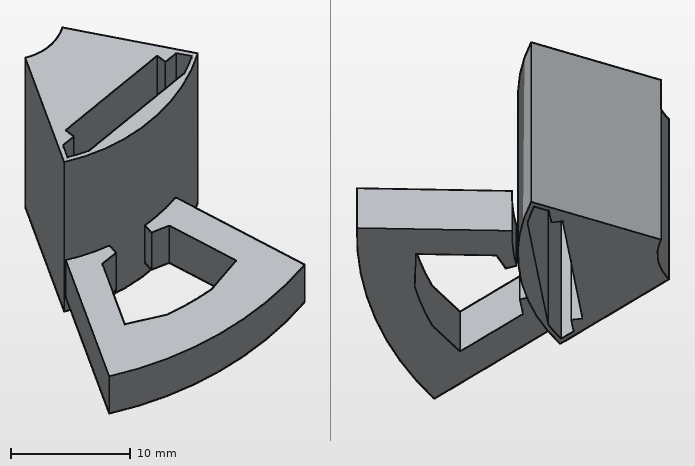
import cadquery as cq
import math


ROTOR_ANGLE = 60.0
ROTOR_HEIGHT = 20.0
SHAFT_RADIUS = 4.5
ROTOR_RADIUS = 16.2

POCKET_WALL = 0.4
MAGNET_INNER = 11.75
MAGNET_SHOULDER = 12.7
MAGNET_OUTER = 14.69
MAGNET_WIDTH = 11.1

STATOR_ANGLE = 40.0
STATOR_HEIGHT = 5.0
STATOR_BASE = 2.5
AIR_GAP = 0.5
STATOR_INNER_RADIUS = ROTOR_RADIUS + AIR_GAP
STATOR_RADIUS = 29.7

FLANK_WALL = 2.83
SLOT_RADIUS = 25.53
SLOT_END = 24.68
SHOE_START = 17.92
SHOE_TIP = 17.55
SLOT_OPENING = 3.68


def polar(radius, angle):
    """Point at a radius and an angle in degrees from +X."""
    return (radius * math.cos(math.radians(angle)), radius * math.sin(math.radians(angle)))


def ring_sector(inner_radius, outer_radius, angle, height):
    """Ring segment from +X through an angle, standing on Z = 0."""
    return (
        cq.Workplane("XY")
        .moveTo(inner_radius, 0)
        .lineTo(outer_radius, 0)
        .threePointArc(polar(outer_radius, angle / 2), polar(outer_radius, angle))
        .lineTo(*polar(inner_radius, angle))
        .threePointArc(polar(inner_radius, angle / 2), (inner_radius, 0))
        .close()
        .extrude(height)
    )


def radial_bar(start, end, width, angle, height):
    """Rectangular bar running outward along a radial line at an angle."""
    bar = cq.Workplane("XY").box(end - start, width, height, centered=(False, True, False))
    return bar.translate((start, 0, 0)).rotate((0, 0, 0), (0, 0, 1), angle)


def magnet_pocket():
    """Flat magnet seat with a wider outer part that ends in flux barriers beside the thin walls."""
    middle = ROTOR_ANGLE / 2
    apex_distance = POCKET_WALL / math.sin(math.radians(middle))
    side_length = 2 * ROTOR_RADIUS
    wedge = (
        cq.Workplane("XY")
        .polyline([(0, 0), (side_length, 0), polar(side_length, ROTOR_ANGLE)])
        .close()
        .extrude(ROTOR_HEIGHT)
        .translate((*polar(apex_distance, middle), 0))
    )
    rim = cq.Workplane("XY").circle(ROTOR_RADIUS - POCKET_WALL).extrude(ROTOR_HEIGHT)
    band = radial_bar(MAGNET_SHOULDER, MAGNET_OUTER, 2 * ROTOR_RADIUS, middle, ROTOR_HEIGHT)
    seat = radial_bar(MAGNET_INNER, MAGNET_OUTER, MAGNET_WIDTH, middle, ROTOR_HEIGHT)
    return band.intersect(wedge).intersect(rim).union(seat)


def mirrored(point):
    """Reflect a point across the middle line of the stator sector."""
    x, y = point
    return polar(math.hypot(x, y), STATOR_ANGLE - math.degrees(math.atan2(y, x)))


def winding_slot():
    """Slot for the winding, with a narrow opening between the pole shoes."""
    middle = STATOR_ANGLE / 2
    half_opening = SLOT_OPENING / 2
    tip_angle = middle - math.degrees(math.atan2(half_opening, SHOE_TIP))
    shoe_tip = polar(math.hypot(SHOE_TIP, half_opening), tip_angle)
    shoe_start = (SHOE_START, FLANK_WALL)
    outer_corner = (SLOT_END, FLANK_WALL)
    arc_start = (SLOT_END, math.sqrt(SLOT_RADIUS**2 - SLOT_END**2))
    chamber = (
        cq.Workplane("XY")
        .moveTo(*shoe_tip)
        .lineTo(*shoe_start)
        .lineTo(*outer_corner)
        .lineTo(*arc_start)
        .threePointArc(polar(SLOT_RADIUS, middle), mirrored(arc_start))
        .lineTo(*mirrored(outer_corner))
        .lineTo(*mirrored(shoe_start))
        .lineTo(*mirrored(shoe_tip))
        .close()
        .extrude(STATOR_HEIGHT)
    )
    opening = radial_bar(ROTOR_RADIUS / 2, SHOE_START, SLOT_OPENING, middle, STATOR_HEIGHT)
    return chamber.union(opening)


rotor = ring_sector(SHAFT_RADIUS, ROTOR_RADIUS, ROTOR_ANGLE, ROTOR_HEIGHT).cut(magnet_pocket())

stator = (
    ring_sector(STATOR_INNER_RADIUS, STATOR_RADIUS, STATOR_ANGLE, STATOR_HEIGHT)
    .cut(winding_slot())
    .translate((0, 0, STATOR_BASE))
)

result = cq.Compound.makeCompound([rotor.solids().val(), stator.solids().val()])